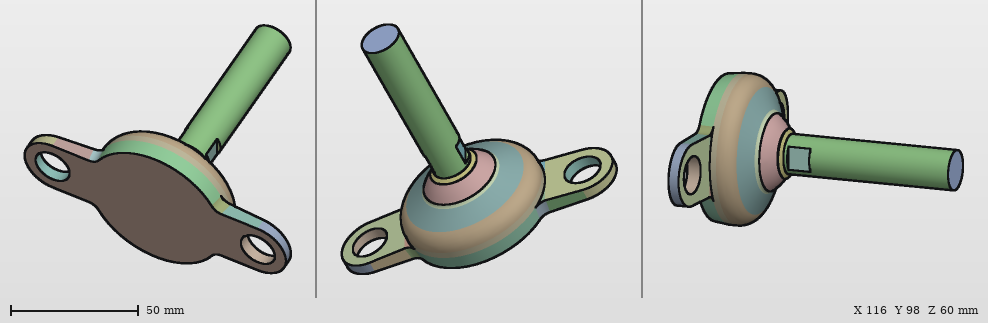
import cadquery as cq
import math

total_length = 116.0
total_height = 98.0

disc_radius = 29.99
disc_bottom_radius = 29.2
disc_height = 6.3
band_top = 9.0
shoulder_radius = 25.2
shoulder_height = 15.8

blend_bottom_radius = 16.6
blend_bottom_height = 20.0
dome_bottom_radius = 15.4
dome_bottom_height = 21.3
dome_top_radius = 9.3
dome_top_height = 26.6
lip_radius = 10.0
lip_height = 27.1
seat_radius = 7.0
seat_height = 28.5

ear_radius = 12.47
ear_center = total_length / 2 - ear_radius
ear_hole_radius = 7.5
ear_tip_height = 4.3
ear_fillet = 5.0

stud_radius = 8.0
flat_half_width = 6.5
flat_bottom = 30.2
flat_top = 39.4


def dome_middle():
    """Point halfway up the dome, on the sphere centred on the axis through both rims."""
    center = (dome_bottom_radius**2 + dome_bottom_height**2 - dome_top_radius**2 - dome_top_height**2) / (
        2 * (dome_bottom_height - dome_top_height)
    )
    sphere_radius = math.hypot(dome_top_radius, dome_top_height - center)
    height = (dome_bottom_height + dome_top_height) / 2
    return math.sqrt(sphere_radius**2 - (height - center) ** 2), height


def make_base_plate():
    """Tapered disc with two filleted ears that slope down towards their tips."""
    disc = (
        cq.Workplane("XY")
        .polyline([(0, 0), (disc_bottom_radius, 0), (disc_radius, disc_height), (0, disc_height)])
        .close()
        .revolve(360, (0, 0), (0, 1))
    )
    ears = cq.Workplane("XZ").slot2D(total_length, 2 * ear_radius).extrude(-disc_height)
    plate = disc.union(ears)

    corner_x = math.sqrt(disc_radius**2 - ear_radius**2)
    margin = 1.2
    corner_edges = []
    for x in (-corner_x, corner_x):
        for z in (-ear_radius, ear_radius):
            corner = cq.selectors.BoxSelector(
                (x - margin, 0, z - margin), (x + margin, disc_height, z + margin)
            )
            corner_edges += [e for e in plate.edges(corner).vals() if abs(e.Center().y - disc_height / 2) < margin]
    plate = plate.newObject(corner_edges).fillet(ear_fillet)

    for side in (-1, 1):
        slope = (
            cq.Workplane("XY")
            .polyline([
                (side * disc_radius, disc_height),
                (side * total_length / 2, ear_tip_height),
                (side * total_length / 2, disc_height),
            ])
            .close()
            .extrude(ear_radius, both=True)
        )
        plate = plate.cut(slope)

    holes = (
        cq.Workplane("XZ")
        .pushPoints([(-ear_center, 0), (ear_center, 0)])
        .circle(ear_hole_radius)
        .extrude(-disc_height)
    )
    return plate.cut(holes)


def make_foot():
    """Base plate carrying the revolved shoulder, dome and seat."""
    upper = (
        cq.Workplane("XY")
        .moveTo(0, disc_height)
        .lineTo(disc_radius, disc_height)
        .lineTo(disc_radius, band_top)
        .tangentArcPoint((shoulder_radius, shoulder_height), relative=False)
        .lineTo(blend_bottom_radius, blend_bottom_height)
        .tangentArcPoint((dome_bottom_radius, dome_bottom_height), relative=False)
        .threePointArc(dome_middle(), (dome_top_radius, dome_top_height))
        .lineTo(lip_radius, lip_height)
        .lineTo(seat_radius, seat_height)
        .lineTo(0, seat_height)
        .close()
        .revolve(360, (0, 0), (0, 1))
    )
    return make_base_plate().union(upper)


def make_stud():
    """Plain round stud standing on the seat, with two opposite wrench flats."""
    stud = (
        cq.Workplane("XZ", origin=(0, seat_height, 0))
        .circle(stud_radius)
        .extrude(-(total_height - seat_height))
    )
    flat_depth = stud_radius - flat_half_width
    for side in (-1, 1):
        flat = cq.Workplane("XY").box(flat_depth, flat_top - flat_bottom, 2 * stud_radius).translate(
            (side * (flat_half_width + flat_depth / 2), (flat_bottom + flat_top) / 2, 0)
        )
        stud = stud.cut(flat)
    return stud


foot = make_foot()
stud = make_stud()

result = cq.Compound.makeCompound([foot.val(), stud.val()])